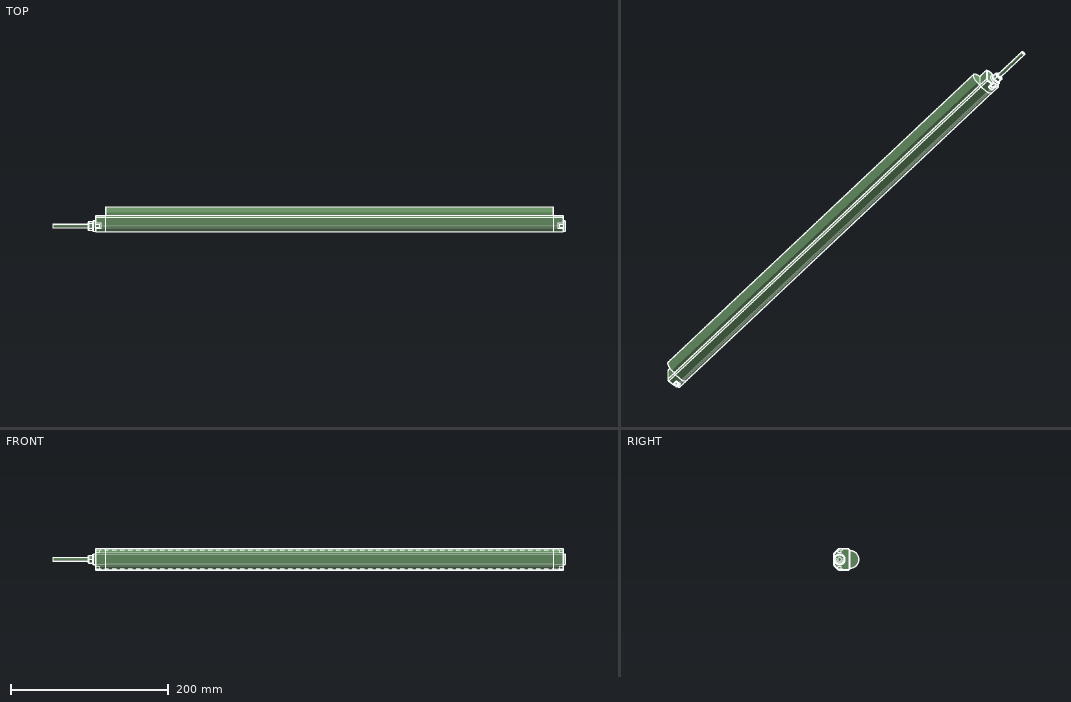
import cadquery as cq

TOTAL_LENGTH = 650.5
TOTAL_DEPTH = 32.19
HEIGHT = 28.0

housing_length = 594.1
housing_depth = 20.8
front_bevel = 6.4
front_fillet = 3.4
back_chamfer = 2.0
cap_length = 13.0
cap_end_chamfer = 1.0
profile_inset = 0.1

axis_depth = 7.7
boss_radius = 7.0
left_boss_length = 3.4
right_boss_length = 2.5
boss_chamfer = 1.0
nut_across_flats = 10.2
nut_across_corners = nut_across_flats / 0.75 ** 0.5
nut_length = 5.8
nut_chamfer = 1.0
cable_radius = 2.5

slot_steps = [(7.5, 7.0, 2.0), (4.0, 5.0, 5.0)]

x_max = TOTAL_LENGTH / 2
x_min = -x_max
housing_right = x_max - right_boss_length
housing_left = housing_right - housing_length
boss_left = housing_left - left_boss_length
nut_left = boss_left - nut_length
profile_left = housing_left + cap_length
profile_length = housing_length - 2 * cap_length
y_front = -TOTAL_DEPTH / 2
y_back = y_front + housing_depth
y_axis = y_front + axis_depth
half_height = HEIGHT / 2
lens_radius = TOTAL_DEPTH / 2 - y_back


def bevelled_bar(x_start, length, inset):
    """Rectangular bar with big rounded front bevels and small back chamfers, shrunk by `inset`."""
    bar = (
        cq.Workplane("XY")
        .box(length, housing_depth - inset, HEIGHT - 2 * inset, centered=False)
        .translate((x_start, y_front + inset, inset - half_height))
    )
    bar = bar.edges("|X and <Y").chamfer(front_bevel)
    bar = bar.edges("|X and >Y").chamfer(back_chamfer)
    front_half = cq.selectors.BoxSelector(
        (x_start, y_front, -HEIGHT),
        (x_start + length, y_front + housing_depth / 2, HEIGHT),
    )
    return bar.edges("|X").edges(front_half).fillet(front_fillet)


def axis_plane(x):
    return cq.Workplane("YZ", origin=(x, y_axis, 0))


def make_end_cap(x_start, outer_end):
    """End cap with a chamfered outer end and a stepped slot in its top and bottom."""
    cap = bevelled_bar(x_start, cap_length, 0)
    cap = cap.faces(outer_end).chamfer(cap_end_chamfer)
    for width, length, depth in slot_steps:
        slot_x = x_start if outer_end == "<X" else x_start + cap_length - length
        for slot_z in (half_height - depth, -half_height):
            slot = (
                cq.Workplane("XY")
                .box(length, width, depth, centered=False)
                .translate((slot_x, y_axis - width / 2, slot_z))
            )
            cap = cap.cut(slot)
    return cap


def make_housing():
    housing = bevelled_bar(profile_left, profile_length, profile_inset)
    housing = housing.union(make_end_cap(housing_left, "<X"))
    housing = housing.union(make_end_cap(housing_right - cap_length, ">X"))

    left_boss = axis_plane(boss_left).circle(boss_radius).extrude(left_boss_length)
    right_boss = axis_plane(housing_right).circle(boss_radius).extrude(right_boss_length)
    housing = housing.union(left_boss.faces("<X").chamfer(boss_chamfer))
    housing = housing.union(right_boss.faces(">X").chamfer(boss_chamfer))

    nut = axis_plane(nut_left).polygon(6, nut_across_corners).extrude(nut_length)
    nut = nut.faces("<X").chamfer(nut_chamfer)
    cable = axis_plane(x_min).circle(cable_radius).extrude(nut_left - x_min)
    return housing.union(nut).union(cable)


def make_lens():
    """Half-round lens lying on the back face of the profile, between the caps."""
    return (
        cq.Workplane("YZ", origin=(profile_left, y_back, 0))
        .moveTo(0, -lens_radius)
        .threePointArc((lens_radius, 0), (0, lens_radius))
        .close()
        .extrude(profile_length)
    )


housing = make_housing()
lens = make_lens()
result = cq.Compound.makeCompound([housing.val(), lens.val()])